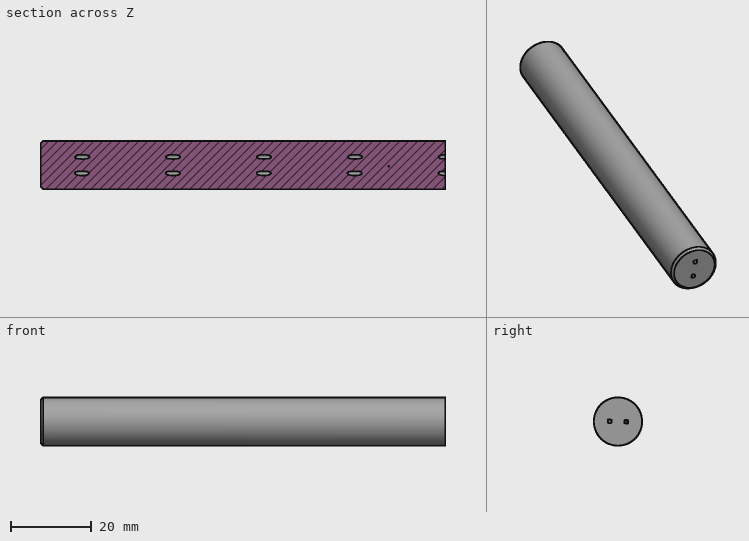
import cadquery as cq
import math

full_turn = 360.0

rod_length = 100.0
rod_diameter = 12.0
rod_radius = rod_diameter / 2

chamfer = 0.6

channel_count = 2
channel_diameter = 1.0
channel_circle_diameter = 4.1
channel_start_angle = 98.0
helix_angle = 40.0
helix_lead = math.pi * rod_diameter / math.tan(math.radians(helix_angle))


def rod():
    """Plain cylinder with its -X end chamfered."""
    body = cq.Workplane("YZ").circle(rod_radius).extrude(rod_length)
    return body.faces("<X").chamfer(chamfer)


def channels():
    """Round channels twisting right-handed about the rod axis over its full length."""
    twist = full_turn * rod_length / helix_lead
    return (
        cq.Workplane("YZ")
        .polarArray(channel_circle_diameter / 2, channel_start_angle, full_turn, channel_count)
        .circle(channel_diameter / 2)
        .twistExtrude(rod_length, twist)
    )


result = rod().cut(channels())